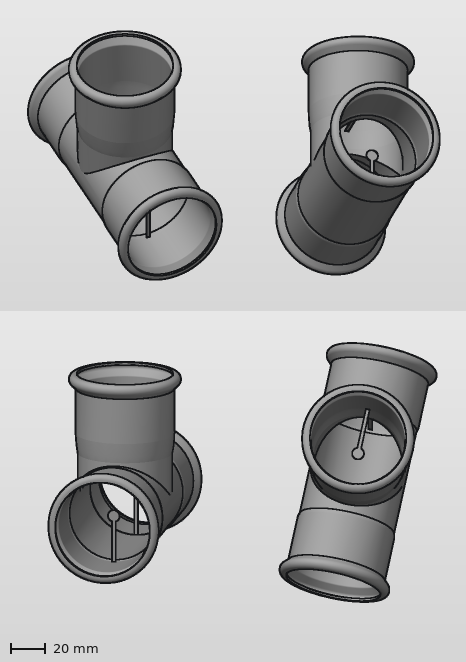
import cadquery as cq
import math

ORIGIN = (0, 0, 0)
X_AXIS = (1, 0, 0)
Y_AXIS = (0, 1, 0)
Z_AXIS = (0, 0, 1)

run_length = 138.0
overall_height = 109.2
wall = 1.5

bead_diameter = 65.0
bead_round = 3.3
lip_radius = 27.9
bead_slope = math.radians(45)
seal_edge_round = 1.1

socket_radius = 28.7
run_radius = 28.0
run_stop_depth = 34.8
run_neck_length = 2.6
branch_radius = 27.5
branch_stop_depth = 35.0
branch_neck_length = 11.7

marker_radius = 3.5
strip_width = 2.2
marker_thickness = 0.4

half_run = run_length / 2
bead_radius = bead_diameter / 2
branch_height = overall_height - bead_radius
ring_center_radius = bead_radius - bead_round
bore_radius = socket_radius - wall


def ring_point(radius, angle):
    """Point (radius, depth) on a circle around the bead ring's center; angle 0 points outward."""
    return (ring_center_radius + radius * math.cos(angle), bead_round + radius * math.sin(angle))


def slope_foot(ring_radius, tube_radius):
    """Depth where the slope tangent to a ring circle meets a tube."""
    radius, depth = ring_point(ring_radius, bead_slope)
    return depth + (radius - tube_radius) * math.tan(bead_slope)


def add_neck(profile, start_radius, end_radius, start_depth, length):
    """Taper to the body along an arc that starts parallel to the axis."""
    drop = start_radius - end_radius
    arc_radius = (length**2 + drop**2) / (2 * drop)
    half_angle = math.atan2(drop, length)
    middle = (
        start_radius - arc_radius * (1 - math.cos(half_angle)),
        start_depth + arc_radius * math.sin(half_angle),
    )
    return profile.threePointArc(middle, (end_radius, start_depth + length))


def revolve_leg(profile, end_depth):
    """Close a (radius, depth) profile on the axis and spin it; depth runs along +Y."""
    return profile.lineTo(0, end_depth).close().revolve(360, ORIGIN, Y_AXIS)


def leg_outside(body_radius, stop_depth, neck_length, end_depth):
    """Solid of one leg from its mouth to the end depth, without its hollow."""
    profile = (
        cq.Workplane("XY")
        .lineTo(ring_center_radius, 0)
        .threePointArc(ring_point(bead_round, 0), ring_point(bead_round, bead_slope))
        .lineTo(socket_radius, slope_foot(bead_round, socket_radius))
        .lineTo(socket_radius, stop_depth)
    )
    profile = add_neck(profile, socket_radius, body_radius, stop_depth, neck_length)
    return revolve_leg(profile.lineTo(body_radius, end_depth), end_depth)


def leg_cavity(body_radius, stop_depth, neck_length, end_depth):
    """Hollow of one leg: lip, seal groove, bore and the narrower passage behind the stop."""
    groove_round = bead_round - wall
    foot_depth = slope_foot(groove_round, bore_radius)
    inner_radius = body_radius - wall
    edge_setback = seal_edge_round * math.tan(bead_slope / 2)
    edge_start = (
        bore_radius + edge_setback * math.cos(bead_slope),
        foot_depth - edge_setback * math.sin(bead_slope),
    )
    edge_middle = (
        bore_radius + seal_edge_round * (1 - math.cos(bead_slope / 2)),
        foot_depth + edge_setback - seal_edge_round * math.sin(bead_slope / 2),
    )
    profile = (
        cq.Workplane("XY")
        .lineTo(lip_radius, 0)
        .lineTo(lip_radius, wall)
        .lineTo(ring_center_radius, wall)
        .threePointArc(ring_point(groove_round, 0), ring_point(groove_round, bead_slope))
        .lineTo(*edge_start)
        .threePointArc(edge_middle, (bore_radius, foot_depth + edge_setback))
        .lineTo(bore_radius, stop_depth)
    )
    profile = add_neck(profile, bore_radius, inner_radius, stop_depth, neck_length)
    return revolve_leg(profile.lineTo(inner_radius, end_depth), end_depth)


def marker_plate(stop_depth):
    """Disc on the leg axis with a strip along +Z that ends inside the wall."""
    strip_length = bore_radius + wall / 2
    strip = cq.Workplane("XY").box(
        strip_width, marker_thickness, strip_length, centered=(True, False, False)
    )
    disc = cq.Workplane("XZ").circle(marker_radius).extrude(-marker_thickness)
    return disc.union(strip).translate((0, stop_depth, 0))


def place_left(leg):
    """Mouth at -X, depth along +X, strip along -Z."""
    along_x = leg.rotate(ORIGIN, Z_AXIS, -90).rotate(ORIGIN, X_AXIS, 180)
    return along_x.translate((-half_run, 0, 0))


def place_right(leg):
    """Mirror image of the left leg."""
    return place_left(leg).mirror("YZ")


def place_branch(leg):
    """Mouth at the top, depth along -Z, strip along +X."""
    downward = leg.rotate(ORIGIN, X_AXIS, -90).rotate(ORIGIN, Z_AXIS, -90)
    return downward.translate((0, 0, branch_height))


run_sizes = (run_radius, run_stop_depth, run_neck_length, half_run)
branch_sizes = (branch_radius, branch_stop_depth, branch_neck_length, branch_height)
legs = [(place_left, run_sizes), (place_right, run_sizes), (place_branch, branch_sizes)]

body = cq.Workplane("XY")
cavity = cq.Workplane("XY")
for place, sizes in legs:
    body = body.union(place(leg_outside(*sizes)))
    cavity = cavity.union(place(leg_cavity(*sizes)))
body = body.cut(cavity.clean()).clean()
for place, (_, stop_depth, _, _) in legs:
    body = body.union(place(marker_plate(stop_depth)))

result = body